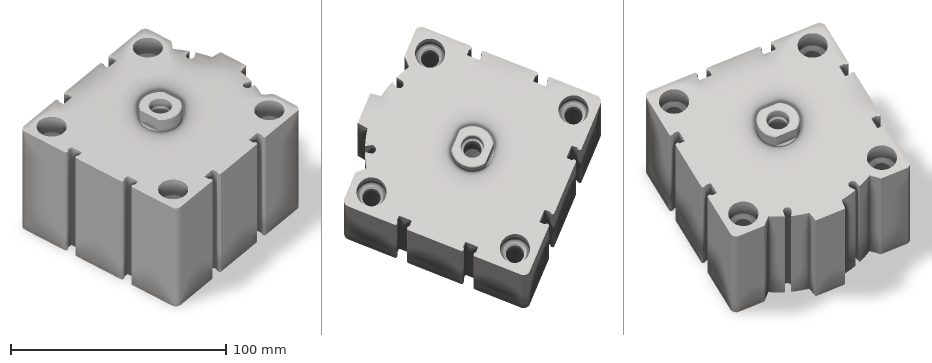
import cadquery as cq
import math

body_side = 93.0
body_height = 60.0
half_side = body_side / 2
corner_radius = 3.0

overall_y = 101.0
crown_radius = 50.0
rib_top_width = 15.4
rib_base_width = 16.8
rib_top_y = overall_y - half_side
notch_outer_x = 30.3

keyhole_angle = 21.2
keyhole_distance = 46.9
keyhole_diameter = 4.0
keyhole_mouth_width = 2.8

slot_spacing = 33.3
slot_mouth_width = 5.2
slot_inner_width = 6.5
slot_lip = 1.7
slot_depth = 4.8
slot_edge_break = 0.5
slot_corner_radius = 0.5

mount_spacing = 72.0
mount_bore_diameter = 14.0
mount_bore_depth = 9.5
mount_sink_diameter = 10.5
mount_hole_diameter = 8.5
sink_depth = 0.6

rod_diameter = 20.0
rod_top = 68.0
rod_socket_depth = 25.2
rod_chamfer = 0.4
flat_across = 17.0
flat_length = 7.1
rod_bore_diameter = 10.5
rod_bore_depth = 4.7
rod_mouth_diameter = 11.3
rod_drill_diameter = 8.5
rod_drill_depth = 20.2
drill_point_angle = 118.0


def circle_point(radius, x):
    """Point with the given x on the +Y half of a circle about the rod axis."""
    return x, math.sqrt(radius**2 - x**2)


def notch_root():
    """Point where the 45 degree notch flank meets the crown arc (+X side)."""
    offset = half_side - notch_outer_x
    x = (math.sqrt(2 * crown_radius**2 - offset**2) - offset) / 2
    return x, x + offset


def mirrored(point):
    return -point[0], point[1]


def make_profile():
    """Extruded block with the notches, crown arc and rib on its +Y side."""
    root = notch_root()
    rib_base = circle_point(crown_radius, rib_base_width / 2)
    crown_middle = circle_point(crown_radius, (root[0] + rib_base[0]) / 2)
    block = (
        cq.Workplane("XY")
        .moveTo(-half_side, -half_side)
        .lineTo(half_side, -half_side)
        .lineTo(half_side, half_side)
        .lineTo(notch_outer_x, half_side)
        .lineTo(*root)
        .threePointArc(crown_middle, rib_base)
        .lineTo(rib_top_width / 2, rib_top_y)
        .lineTo(-rib_top_width / 2, rib_top_y)
        .lineTo(*mirrored(rib_base))
        .threePointArc(mirrored(crown_middle), mirrored(root))
        .lineTo(-notch_outer_x, half_side)
        .lineTo(-half_side, half_side)
        .close()
        .extrude(body_height)
    )
    reach = corner_radius / 2
    for x in (-half_side, half_side):
        for y in (-half_side, half_side):
            around_corner = cq.selectors.BoxSelector(
                (x - reach, y - reach, 0),
                (x + reach, y + reach, body_height),
            )
            block = block.edges(around_corner).edges("|Z").fillet(corner_radius)
    return block


def make_t_slot(offset):
    """T-slot cutter on the -Y side, centred at x = offset."""
    mouth_half = slot_mouth_width / 2
    flare_half = mouth_half + slot_edge_break
    mouth = (
        cq.Workplane("XY")
        .polyline([
            (-flare_half, 0),
            (flare_half, 0),
            (mouth_half, slot_edge_break),
            (mouth_half, slot_depth),
            (-mouth_half, slot_depth),
            (-mouth_half, slot_edge_break),
        ])
        .close()
        .extrude(body_height)
    )
    inner = (
        cq.Workplane("XY")
        .center(0, (slot_lip + slot_depth) / 2)
        .rect(slot_inner_width, slot_depth - slot_lip)
        .extrude(body_height)
        .edges("|Z")
        .fillet(slot_corner_radius)
    )
    return mouth.union(inner).translate((offset, -half_side, 0))


def make_keyhole(angle):
    """Keyhole groove cutter on the crown, turned by angle from the +Y axis."""
    bottom_half = keyhole_diameter / 2
    mouth_half = keyhole_mouth_width / 2
    outside = crown_radius + keyhole_diameter
    throat = (
        cq.Workplane("XY")
        .polyline([
            (-bottom_half, keyhole_distance),
            (bottom_half, keyhole_distance),
            (mouth_half, crown_radius),
            (mouth_half, outside),
            (-mouth_half, outside),
            (-mouth_half, crown_radius),
        ])
        .close()
        .extrude(body_height)
    )
    bottom = (
        cq.Workplane("XY")
        .center(0, keyhole_distance)
        .circle(bottom_half)
        .extrude(body_height)
    )
    return throat.union(bottom).rotate((0, 0, 0), (0, 0, 1), angle)


def make_mount_hole():
    """Counterbored and countersunk through hole on the Z axis."""
    bore_radius = mount_bore_diameter / 2
    sink_radius = mount_sink_diameter / 2
    hole_radius = mount_hole_diameter / 2
    bore_floor = body_height - mount_bore_depth
    return (
        cq.Workplane("XZ")
        .polyline([
            (0, 0),
            (hole_radius, 0),
            (hole_radius, bore_floor - sink_depth),
            (sink_radius, bore_floor),
            (bore_radius, bore_floor),
            (bore_radius, body_height),
            (0, body_height),
        ])
        .close()
        .revolve(360, (0, 0), (0, 1))
    )


def make_rod_blank():
    """Plain round rod, from the floor of its socket to its end face."""
    socket_floor = body_height - rod_socket_depth
    return (
        cq.Workplane("XY")
        .workplane(offset=socket_floor)
        .circle(rod_diameter / 2)
        .extrude(rod_top - socket_floor)
    )


def make_rod_hole():
    """Stepped blind hole with a countersunk mouth and a drill point."""
    mouth_radius = rod_mouth_diameter / 2
    bore_radius = rod_bore_diameter / 2
    drill_radius = rod_drill_diameter / 2
    bore_end = rod_top - rod_bore_depth
    drill_end = rod_top - rod_drill_depth
    point_length = drill_radius / math.tan(math.radians(drill_point_angle / 2))
    return (
        cq.Workplane("XZ")
        .polyline([
            (0, rod_top),
            (mouth_radius, rod_top),
            (bore_radius, rod_top - (mouth_radius - bore_radius)),
            (bore_radius, bore_end),
            (drill_radius, bore_end - sink_depth),
            (drill_radius, drill_end),
            (0, drill_end - point_length),
        ])
        .close()
        .revolve(360, (0, 0), (0, 1))
    )


def make_body():
    body = make_profile()
    for side_angle in (-90, 0, 90):
        for offset in (-slot_spacing / 2, slot_spacing / 2):
            slot = make_t_slot(offset).rotate((0, 0, 0), (0, 0, 1), side_angle)
            body = body.cut(slot)
    for angle in (-keyhole_angle, keyhole_angle):
        body = body.cut(make_keyhole(angle))
    for x in (-mount_spacing / 2, mount_spacing / 2):
        for y in (-mount_spacing / 2, mount_spacing / 2):
            body = body.cut(make_mount_hole().translate((x, y, 0)))
    return body.cut(make_rod_blank())


def make_rod():
    rod = make_rod_blank().faces(">Z").chamfer(rod_chamfer)
    flats = (
        cq.Workplane("XY")
        .workplane(offset=rod_top - flat_length)
        .rect(2 * rod_diameter, 2 * rod_diameter)
        .rect(2 * rod_diameter, flat_across)
        .extrude(flat_length)
    )
    return rod.cut(flats).cut(make_rod_hole())


body = make_body()
rod = make_rod()

result = cq.Compound.makeCompound([body.val(), rod.val()])